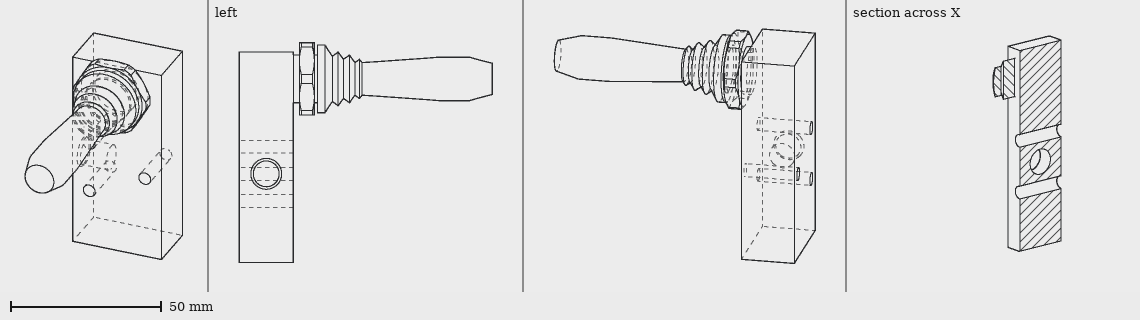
import cadquery as cq
import math

BLOCK_WIDTH = 32.0
BLOCK_DEPTH = 18.0
BLOCK_HEIGHT = 70.0

MOUNT_HOLE_DIAMETER = 4.3
MOUNT_HOLE_X = 10.0
MOUNT_HOLE_PITCH_Z = 18.0

PORT_Z = 29.5
PORT_DIAMETER = 8.6
PORT_MOUTH_DIAMETER = 10.25
PORT_CHAMFER = (PORT_MOUTH_DIAMETER - PORT_DIAMETER) / 2
PORT_DEPTH = 10.1

LEVER_Z = 61.0
OVERALL_LENGTH = 84.0
LEVER_LENGTH = OVERALL_LENGTH - BLOCK_DEPTH
NECK_RADIUS = 16 / 2
FLANGE_RADIUS = 22.5 / 2
FLANGE_START = 8.0
FLANGE_END = 10.5
STEM_RADIUS = 11.0 / 2
STEM_START = 22.8
TAPER_START = 23.5
GRIP_RADIUS = 14.5 / 2
GRIP_START = 48.4
GRIP_END = 58.4
TIP_RADIUS = 5.2

BELLOWS_FOLDS = [
    (7.6, 12.9),
    (9.0, 14.9),
    (6.55, 16.6),
    (8.0, 18.65),
    (5.5, 20.4),
    (6.55, 21.9),
]

HEX_SIDES = 6
HEX_FLATS = 24.0
HEX_CORNER_RADIUS = 13.1
HEX_START = 2.0
HEX_END = 7.0
HEX_CHAMFER_ANGLE = 30


def front_plane():
    """XZ plane on the block front with its normal toward -Y and origin on the lever axis."""
    return cq.Workplane("XZ", origin=(0, 0, LEVER_Z))


def cut_mounting_holes(block):
    upper_z = PORT_Z + MOUNT_HOLE_PITCH_Z / 2
    lower_z = PORT_Z - MOUNT_HOLE_PITCH_Z / 2
    centers = [(-MOUNT_HOLE_X, upper_z), (-MOUNT_HOLE_X, lower_z), (MOUNT_HOLE_X, PORT_Z)]
    holes = cq.Workplane("XZ").pushPoints(centers).circle(MOUNT_HOLE_DIAMETER / 2).extrude(-BLOCK_DEPTH)
    return block.cut(holes)


def cut_port(block):
    mouth = (-BLOCK_WIDTH / 2, BLOCK_DEPTH / 2, PORT_Z)
    bore = cq.Workplane("YZ", origin=mouth).circle(PORT_DIAMETER / 2).extrude(PORT_DEPTH)
    countersink = cq.Solid.makeCone(
        PORT_MOUTH_DIAMETER / 2, PORT_DIAMETER / 2, PORT_CHAMFER, cq.Vector(*mouth), cq.Vector(1, 0, 0)
    )
    return block.cut(bore).cut(cq.Workplane(countersink))


def make_block():
    block = cq.Workplane("XY").box(BLOCK_WIDTH, BLOCK_DEPTH, BLOCK_HEIGHT, centered=(True, False, False))
    return cut_port(cut_mounting_holes(block))


def revolve_on_lever_axis(profile):
    """Turn a closed profile of (radius, distance from the block front) about the lever axis."""
    points = [(radius, -distance) for radius, distance in profile]
    section = cq.Workplane("XY", origin=(0, 0, LEVER_Z)).polyline(points).close()
    return section.revolve(360, (0, 0), (0, 1))


def make_hex_collar():
    """Hexagon whose corners are rounded by a coaxial cylinder chamfered at both ends."""
    corner_diameter = HEX_FLATS / math.cos(math.pi / HEX_SIDES)
    prism = (
        front_plane()
        .workplane(offset=HEX_START)
        .polygon(HEX_SIDES, corner_diameter)
        .extrude(HEX_END - HEX_START)
    )
    end_radius = HEX_FLATS / 2
    chamfer = (HEX_CORNER_RADIUS - end_radius) * math.tan(math.radians(HEX_CHAMFER_ANGLE))
    envelope = revolve_on_lever_axis([
        (0, HEX_START),
        (end_radius, HEX_START),
        (HEX_CORNER_RADIUS, HEX_START + chamfer),
        (HEX_CORNER_RADIUS, HEX_END - chamfer),
        (end_radius, HEX_END),
        (0, HEX_END),
    ])
    return prism.intersect(envelope)


def make_lever():
    turned = revolve_on_lever_axis([
        (0, 0),
        (NECK_RADIUS, 0),
        (NECK_RADIUS, FLANGE_START),
        (FLANGE_RADIUS, FLANGE_START),
        (FLANGE_RADIUS, FLANGE_END),
        *BELLOWS_FOLDS,
        (STEM_RADIUS, STEM_START),
        (STEM_RADIUS, TAPER_START),
        (GRIP_RADIUS, GRIP_START),
        (GRIP_RADIUS, GRIP_END),
        (TIP_RADIUS, LEVER_LENGTH),
        (0, LEVER_LENGTH),
    ])
    return turned.union(make_hex_collar())


block = make_block()
lever = make_lever()

result = cq.Compound.makeCompound([block.solids().val(), lever.solids().val()])